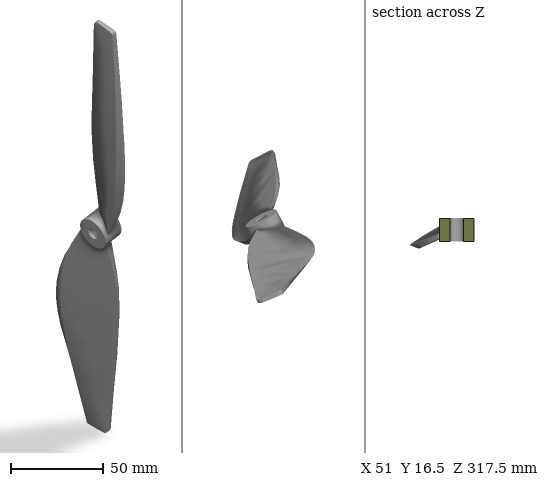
import cadquery as cq
import math

span = 317.5
tip_radius = span / 2
hub_diameter = 18.7
hub_length = 12.7
bore_diameter = 7.0
leading_tip_round = 3.8
trailing_tip_round = 1.3
tip_left = -5.0
tip_right = 9.5
cutter_depth = 3 * hub_length
cutter_margin = 3.2

corner_count = 4

blade_sections = [
    (4.8, [(-0.5, -5.7), (10.2, -11.5), (9.5, -8.3), (-3.8, -3.0)]),
    (15.2, [(-3.5, -4.8), (14.3, -13.3), (14.5, -10.8), (-4.8, -2.2)]),
    (25.5, [(-5.7, -3.8), (17.0, -15.0), (18.7, -12.5), (-6.0, -1.5)]),
    (38.0, [(-8.0, -3.2), (19.0, -16.0), (22.5, -13.5), (-7.5, -1.0)]),
    (61.3, [(-10.0, -3.0), (20.3, -16.5), (25.5, -14.5), (-8.5, -0.5)]),
    (99.5, [(-8.5, -3.8), (17.8, -13.5), (21.5, -11.7), (-7.5, -1.5)]),
    (130.0, [(-6.7, -5.0), (14.0, -10.2), (15.5, -8.0), (-6.0, -3.0)]),
    (tip_radius, [(tip_left, -6.5), (9.2, -7.3), (tip_right, -4.5), (tip_left, -4.0)]),
]


def make_hub():
    return cq.Workplane("XZ").circle(hub_diameter / 2).extrude(hub_length)


def make_blade_edge(corner):
    """Return the smooth curve through one corner of every blade section."""
    points = [cq.Vector(*corners[corner], height) for height, corners in blade_sections]
    return cq.Edge.makeSpline(points)


def make_section_face(section):
    height, corners = section
    points = [cq.Vector(x, y, height) for x, y in corners]
    return cq.Face.makeFromWires(cq.Wire.makePolygon(points, close=True))


def make_blade_body():
    """Span ruled faces between neighbouring blade edges and cap both ends."""
    edges = [make_blade_edge(corner) for corner in range(corner_count)]
    sides = [cq.Face.makeRuledSurface(edges[i - 1], edges[i]) for i in range(corner_count)]
    caps = [make_section_face(blade_sections[i]) for i in (0, -1)]
    return cq.Solid.makeSolid(cq.Shell.makeShell(sides + caps)).fix()


def make_corner_cutter(corner_x, radius, inward):
    """Return the sliver outside a tip corner arc; inward is +1 or -1 along X."""
    bend = radius * (1 - math.sqrt(0.5))
    sliver = (
        cq.Workplane("XZ", origin=(0, cutter_depth / 2, 0))
        .moveTo(corner_x, tip_radius - radius)
        .threePointArc(
            (corner_x + inward * bend, tip_radius - bend),
            (corner_x + inward * radius, tip_radius),
        )
        .lineTo(corner_x + inward * radius, tip_radius + cutter_margin)
        .lineTo(corner_x - inward * cutter_margin, tip_radius + cutter_margin)
        .lineTo(corner_x - inward * cutter_margin, tip_radius - radius)
        .close()
    )
    return sliver.extrude(cutter_depth)


def make_blade():
    """Round the tip corners of the twisted blade body."""
    blade = cq.Workplane(make_blade_body())
    blade = blade.cut(make_corner_cutter(tip_left, leading_tip_round, 1))
    return blade.cut(make_corner_cutter(tip_right, trailing_tip_round, -1))


def make_bore():
    return cq.Workplane("XZ").circle(bore_diameter / 2).extrude(hub_length)


upper_blade = make_blade()
lower_blade = upper_blade.rotate((0, 0, 0), (0, 1, 0), 180)
result = make_hub().union(upper_blade).union(lower_blade).cut(make_bore())